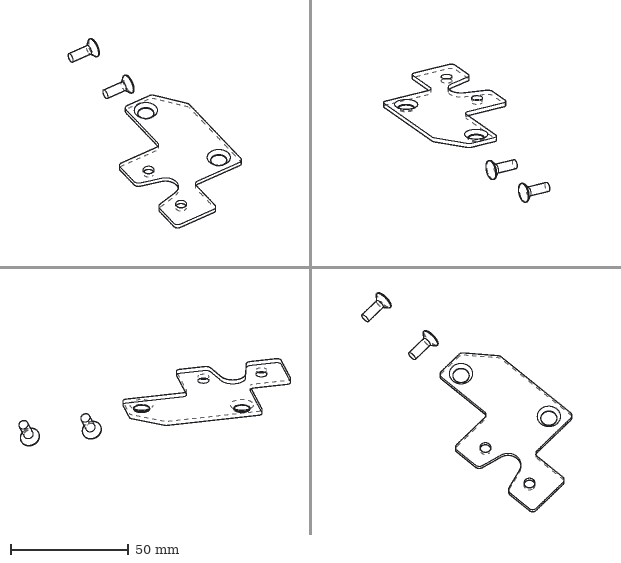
import cadquery as cq
import math

plate_length = 74.5
plate_width = 46.1
plate_thickness = 2.0
corner_radius = 2.0
arm_bottom_y = 21.6
foot_left_x = 28.7
foot_top_y = 20.9
arm_right_x = 56.0
bevel_length = 13.3
bevel_width = 10.1

foot_hole_diameter = 4.6
foot_hole_y = 9.2
foot_hole_spacing = 25.4

notch_x = 51.5
notch_depth_y = 15.0
notch_radius = 5.5
notch_side_angle = 15.0
notch_mouth_radius = 2.5

countersink_centres = [(7.0, 28.5), (48.5, 38.5)]
countersink_hole_diameter = 6.8
countersink_diameter = 9.9
countersink_angle = 90.0

head_diameter = 8.3
shank_diameter = 4.0
screw_length = 12.0
head_rim_height = 0.5
head_cone_height = (head_diameter - shank_diameter) / 2
head_face_y = 35.1
screw_axis_z = -head_diameter / 2
first_screw_x = -43.5
screw_spacing = 27.1
screw_count = 2


def make_blank():
    """Stepped plate with one sloped corner and all corners rounded."""
    outline = [
        (0, arm_bottom_y),
        (foot_left_x, arm_bottom_y),
        (foot_left_x, 0),
        (plate_length, 0),
        (plate_length, foot_top_y),
        (arm_right_x, foot_top_y),
        (arm_right_x, plate_width),
        (bevel_length, plate_width),
        (0, plate_width - bevel_width),
    ]
    blank = cq.Workplane("XY").polyline(outline).close().extrude(plate_thickness)
    return blank.edges("|Z").fillet(corner_radius)


def cut_notch(plate):
    """Cut the notch and round the two corners where it meets the lower edge."""
    angle = math.radians(notch_side_angle)
    centre_y = notch_depth_y - notch_radius
    tangent_x = notch_radius * math.cos(angle)
    tangent_y = centre_y + notch_radius * math.sin(angle)
    mouth_x = tangent_x + tangent_y * math.tan(angle)
    notch = (
        cq.Workplane("XY")
        .moveTo(notch_x - mouth_x, 0)
        .lineTo(notch_x - tangent_x, tangent_y)
        .threePointArc((notch_x, notch_depth_y), (notch_x + tangent_x, tangent_y))
        .lineTo(notch_x + mouth_x, 0)
        .close()
        .extrude(plate_thickness)
    )
    plate = plate.cut(notch)
    for side in (-1, 1):
        mouth_corner = (notch_x + side * mouth_x, 0, plate_thickness / 2)
        plate = plate.edges(cq.NearestToPointSelector(mouth_corner)).fillet(notch_mouth_radius)
    return plate


def cut_holes(plate):
    """Cut the plain holes and the countersunk holes."""
    foot_holes = [(notch_x + side * foot_hole_spacing / 2, foot_hole_y) for side in (-1, 1)]
    top = cq.Workplane("XY").workplane(offset=plate_thickness)
    drills = top.pushPoints(foot_holes).circle(foot_hole_diameter / 2).extrude(-plate_thickness)
    plate = plate.cut(drills)
    return (
        plate.faces(">Z")
        .workplane(origin=(0, 0, plate_thickness))
        .pushPoints(countersink_centres)
        .cskHole(countersink_hole_diameter, countersink_diameter, countersink_angle)
    )


def make_screw(x):
    """Flat-head screw revolved about its own axis at the given X."""
    rim_y = head_face_y - head_rim_height
    shank_top_y = rim_y - head_cone_height
    tip_y = head_face_y - screw_length
    profile = [
        (0, head_face_y),
        (head_diameter / 2, head_face_y),
        (head_diameter / 2, rim_y),
        (shank_diameter / 2, shank_top_y),
        (shank_diameter / 2, tip_y),
        (0, tip_y),
    ]
    screw = cq.Workplane("XY").polyline(profile).close().revolve(360, (0, 0), (0, 1))
    return screw.translate((x, 0, screw_axis_z))


plate = cut_holes(cut_notch(make_blank()))
screws = [make_screw(first_screw_x + index * screw_spacing) for index in range(screw_count)]

result = cq.Compound.makeCompound([plate.val(), *[screw.val() for screw in screws]])